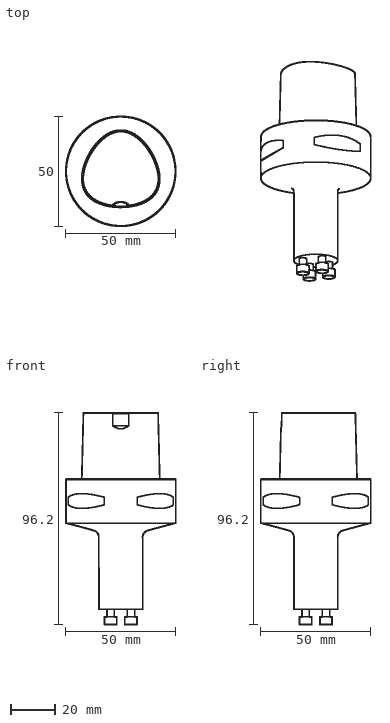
import cadquery as cq
import math

total_height = 96.2
shank_height = 30.0
flange_height = 20.0
flange_top_z = total_height - shank_height
flange_bottom_z = flange_top_z - flange_height
stem_bottom_z = 7.0

flange_radius = 25.0
flange_chamfer = 0.3
stem_radius = 10.0
cone_angle = 15.0
stem_fillet = 3.0

shank_base_diameter = 35.2
shank_taper = 1 / 20
lobe_height = 1.2
lobe_sides = 6

notch_radius = 5.0
notch_axis_y = -19.0
notch_wall_depth = 5.8
notch_tip_angle = 40.0
notch_chamfer = 0.3

groove_count = 4
groove_z = flange_top_z - flange_height / 2
groove_floor_distance = 22.1
groove_floor_width = 3.4
groove_wall_angle = 30.0
groove_fillet = 0.4

pin_count = 4
pin_circle_radius = 6.5
pin_diameter = 3.5
pin_head_diameter = 5.7
pin_head_height = 3.6
pin_head_chamfer = 0.2

first_diagonal = 45.0


def make_body():
    """Revolve the flange, the cone below it and the stem with its rounded root."""
    cone_drop = (flange_radius - stem_radius) * math.tan(math.radians(cone_angle))
    cone_bottom_z = flange_bottom_z - cone_drop
    profile = [
        (0, stem_bottom_z),
        (stem_radius, stem_bottom_z),
        (stem_radius, cone_bottom_z),
        (flange_radius, flange_bottom_z),
        (flange_radius, flange_top_z),
        (0, flange_top_z),
    ]
    body = cq.Workplane("XZ").polyline(profile).close().revolve(360, (0, 0), (0, 1))
    body = body.faces(">Z").edges().chamfer(flange_chamfer)
    root = cq.selectors.NearestToPointSelector((0, 0, cone_bottom_z))
    return body.edges("%CIRCLE").edges(root).fillet(stem_fillet)


def lobed_wire(mean_radius, z):
    """Closed three-lobed hypotrochoid, one lobe toward +Y, split where lobes meet flatter sides."""
    def point(t):
        x = -mean_radius * math.sin(t) + lobe_height * math.sin(2 * t)
        y = mean_radius * math.cos(t) + lobe_height * math.cos(2 * t)
        return (x, y, z)

    step = 2 * math.pi / lobe_sides
    edges = []
    for side in range(lobe_sides):
        start = (side - 0.5) * step
        curve = cq.Workplane("XY").parametricCurve(
            lambda u, start=start: point(start + u * step), makeWire=False
        )
        edges.append(curve.val())
    return cq.Wire.assembleEdges(edges)


def make_shank():
    """Loft the lobed outline from the flange to its smaller size at the top."""
    base_radius = shank_base_diameter / 2
    top_radius = base_radius - shank_height * shank_taper / 2
    base = lobed_wire(base_radius, flange_top_z)
    top = lobed_wire(top_radius, total_height)
    return cq.Workplane(cq.Solid.makeLoft([base, top], True))


def make_notch():
    """Round cutter with a conical tip below and a chamfer flare at the top."""
    wall_bottom_z = total_height - notch_wall_depth
    tip_z = wall_bottom_z - notch_radius * math.tan(math.radians(notch_tip_angle))
    profile = [
        (0, tip_z),
        (notch_radius, wall_bottom_z),
        (notch_radius, total_height - notch_chamfer),
        (notch_radius + notch_chamfer, total_height),
        (0, total_height),
    ]
    cutter = cq.Workplane("XZ").polyline(profile).close().revolve(360, (0, 0), (0, 1))
    return cutter.translate((0, notch_axis_y, 0))


def make_groove():
    """Flared bar lying outside the groove floor on the +X side, rounded along the floor."""
    depth = flange_radius - groove_floor_distance
    floor_half = groove_floor_width / 2
    mouth_half = floor_half + depth * math.tan(math.radians(groove_wall_angle))
    section = [
        (groove_floor_distance, groove_z - floor_half),
        (flange_radius, groove_z - mouth_half),
        (flange_radius, groove_z + mouth_half),
        (groove_floor_distance, groove_z + floor_half),
    ]
    bar = cq.Workplane("XZ").polyline(section).close().extrude(flange_radius, both=True)
    return bar.faces("<X").edges("|Y").fillet(groove_fillet)


def make_pin():
    """Headed pin standing on Z = 0, its stem reaching the underside of the body."""
    head = cq.Workplane("XY").circle(pin_head_diameter / 2).extrude(pin_head_height)
    head = head.faces("<Z").edges().chamfer(pin_head_chamfer)
    return head.union(cq.Workplane("XY").circle(pin_diameter / 2).extrude(stem_bottom_z))


result = make_body().union(make_shank().cut(make_notch()))

for i in range(groove_count):
    angle = first_diagonal + i * 360 / groove_count
    result = result.cut(make_groove().rotate((0, 0, 0), (0, 0, 1), angle))

for i in range(pin_count):
    angle = first_diagonal + i * 360 / pin_count
    pin = make_pin().translate((pin_circle_radius, 0, 0))
    result = result.union(pin.rotate((0, 0, 0), (0, 0, 1), angle))